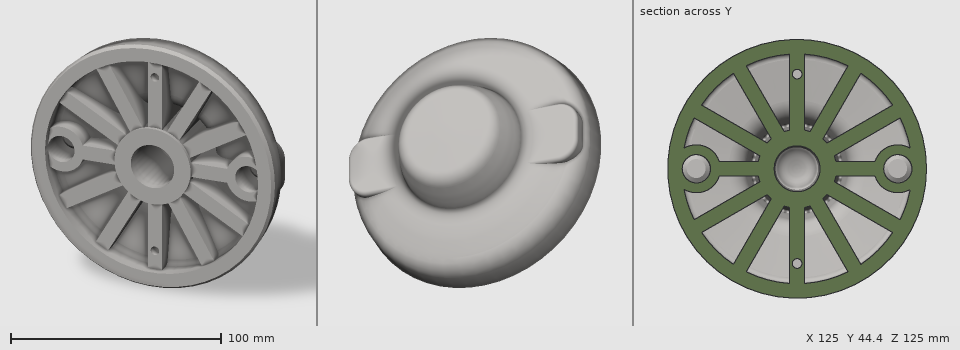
import cadquery as cq
import math


outer_radius = 62.5
rim_chamfer_width = 1.3
rim_chamfer_height = 1.8
skirt_top_radius = 61.4
skirt_top_y = 11.5
shoulder_mid = (59.2, 16.8)
dome_outer = (54.4, 19.6)
dome_mid = (43.8, 22.8)
dome_inner_radius = 33.3
deck_y = 24.1
boss_base = (31.4, 25.5)
boss_side_mid = (29.3, 32.5)
boss_side_top = (26.3, 39.4)
boss_shoulder_mid = (23.9, 42.4)
boss_crown_edge = (19.6, 43.8)
total_depth = 44.4

cavity_radius = 54.5
cavity_corner_radius = 51.9
cavity_corner_y = 11.6
cavity_corner_height = 2.5
web_inner = (32.4, 15.4)
well_mouth = (24.4, 23.0)
well_bottom_outer = (21.6, 34.0)
well_bottom_inner = (20.3, well_bottom_outer[1])
well_end_radius = 0.5 * (well_bottom_outer[0] + well_bottom_inner[0])
well_end_y = 34.8
hub_face_y = 1.3
hub_lip_radius = 19.5
hub_lip_end_y = 3.1
hub_neck_radius = 18.5

bore_mouth_radius = 11.1
bore_end_radius = 10.1
bore_straight_end_y = 33.8
bore_dome_radius = 11.9

rib_count = 12
rib_width = 7.3
rib_face_y = 4.4
pin_hole_diameter = 4.4
pin_hole_offset = 45.0
pin_hole_depth = 10.0

socket_offset = 47.9
socket_boss_radius = 11.5
socket_mouth_radius = 6.8
socket_floor_radius = 6.4
socket_floor_y = 20.6
socket_button_radius = 4.5
socket_button_height = 1.9
pad_inner_x = 30.0
pad_outer_x = 59.4
pad_half_height = 15.0
pad_base_y = 15.0
pad_top_y = 23.9
pad_corner_radius = 10.3
pad_edge_fillet = 1.9


def revolve_about_y(profile):
    return profile.close().revolve(360, (0, 0, 0), (0, 1, 0))


def y_cylinder(radius, x, z, y_start, y_end):
    plane = cq.Plane(origin=(x, y_start, z), xDir=(1, 0, 0), normal=(0, 1, 0))
    return cq.Workplane(plane).circle(radius).extrude(y_end - y_start)


def outer_shell():
    profile = (
        cq.Workplane("XY")
        .lineTo(outer_radius - rim_chamfer_width, 0)
        .lineTo(outer_radius, rim_chamfer_height)
        .lineTo(skirt_top_radius, skirt_top_y)
        .threePointArc(shoulder_mid, dome_outer)
        .threePointArc(dome_mid, (dome_inner_radius, deck_y))
        .tangentArcPoint(boss_base, relative=False)
        .threePointArc(boss_side_mid, boss_side_top)
        .threePointArc(boss_shoulder_mid, boss_crown_edge)
        .lineTo(0, total_depth)
    )
    return revolve_about_y(profile)


def pad(side):
    """Rounded block on the back of a socket; side is +1 or -1 along X."""
    length = pad_outer_x - pad_inner_x
    center_x = side * (pad_inner_x + pad_outer_x) / 2
    block = cq.Workplane("XY").box(length, pad_top_y - pad_base_y, 2 * pad_half_height)
    block = block.translate((center_x, (pad_base_y + pad_top_y) / 2, 0))
    outer_face = ">X" if side > 0 else "<X"
    block = block.faces(outer_face).edges("|Y").fillet(pad_corner_radius)
    return block.faces(">Y").edges().fillet(pad_edge_fillet)


def ring_cavity():
    profile = (
        cq.Workplane("XY")
        .moveTo(hub_neck_radius, hub_lip_end_y)
        .lineTo(hub_lip_radius, hub_lip_end_y)
        .lineTo(hub_lip_radius, hub_face_y)
        .lineTo(0, hub_face_y)
        .lineTo(0, 0)
        .lineTo(cavity_radius, 0)
        .lineTo(cavity_radius, cavity_corner_y - cavity_corner_height)
        .tangentArcPoint((cavity_corner_radius, cavity_corner_y), relative=False)
        .lineTo(*web_inner)
        .tangentArcPoint(well_mouth, relative=False)
        .lineTo(*well_bottom_outer)
        .threePointArc((well_end_radius, well_end_y), well_bottom_inner)
    )
    return revolve_about_y(profile)


def ribs():
    length = 2 * outer_radius
    depth = total_depth - rib_face_y
    bar = cq.Workplane("XY").box(length, depth, rib_width)
    bar = bar.translate((0, rib_face_y + depth / 2, 0))
    spokes = bar
    for index in range(1, rib_count // 2):
        spokes = spokes.union(bar.rotate((0, 0, 0), (0, 1, 0), index * 360 / rib_count))
    return spokes


def bore():
    dome_center_y = bore_straight_end_y - math.sqrt(bore_dome_radius**2 - bore_end_radius**2)
    half_angle = math.asin(bore_end_radius / bore_dome_radius) / 2
    dome_arc_mid = (
        bore_dome_radius * math.sin(half_angle),
        dome_center_y + bore_dome_radius * math.cos(half_angle),
    )
    profile = (
        cq.Workplane("XY")
        .lineTo(bore_mouth_radius, 0)
        .lineTo(bore_end_radius, bore_straight_end_y)
        .threePointArc(dome_arc_mid, (0, dome_center_y + bore_dome_radius))
    )
    return revolve_about_y(profile)


def socket(x):
    """Tapered blind hole whose floor rises to a flat-topped cone."""
    button_top_y = socket_floor_y - socket_button_height
    profile = (
        cq.Workplane("XY")
        .lineTo(socket_mouth_radius, 0)
        .lineTo(socket_mouth_radius, rib_face_y)
        .lineTo(socket_floor_radius, socket_floor_y)
        .lineTo(socket_button_radius, button_top_y)
        .lineTo(0, button_top_y)
    )
    return revolve_about_y(profile).translate((x, 0, 0))


cavity = ring_cavity().cut(ribs())
for side in (-1, 1):
    cavity = cavity.cut(y_cylinder(socket_boss_radius, side * socket_offset, 0, rib_face_y, total_depth))

result = outer_shell()
for side in (-1, 1):
    result = result.union(pad(side))
result = result.cut(cavity).cut(bore())

pin_hole_end_y = rib_face_y + pin_hole_depth
for side in (-1, 1):
    result = result.cut(socket(side * socket_offset))
    result = result.cut(y_cylinder(pin_hole_diameter / 2, 0, side * pin_hole_offset, 0, pin_hole_end_y))